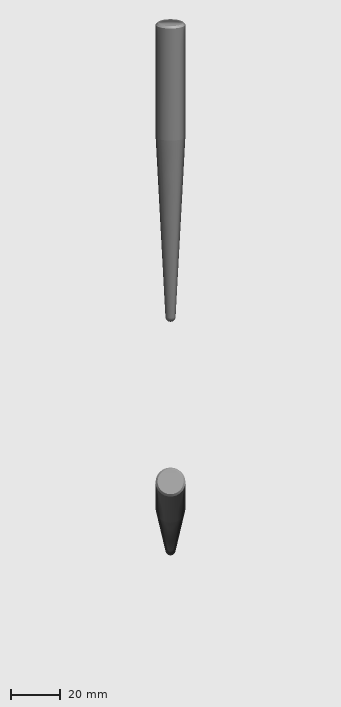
import cadquery as cq
import math

overall_length = 125.05
shank_radius = 6.0
end_chamfer = 0.8
ball_radius = 2.05
taper_angle = math.radians(3.0)
cutting_length = 12.0
neck_length = 76.3

tangent_radius = ball_radius * math.cos(taper_angle)
tangent_height = ball_radius * (1 - math.sin(taper_angle))


def taper_radius(height):
    """Radius of the common taper at a given height."""
    return tangent_radius + (height - tangent_height) * math.tan(taper_angle)


taper_end = tangent_height + (shank_radius - tangent_radius) / math.tan(taper_angle)


def revolve_about_z(profile):
    """Revolve a closed half profile of radius and height, keeping the edges between co-conical faces."""
    return profile.revolve(360, (0, 0), (0, 1), clean=False)


def make_cutting_tip():
    """Ball nose with the first stretch of the taper."""
    profile = (
        cq.Workplane("XZ")
        .radiusArc((tangent_radius, tangent_height), -ball_radius)
        .lineTo(taper_radius(cutting_length), cutting_length)
        .lineTo(0, cutting_length)
        .close()
    )
    return revolve_about_z(profile)


def make_shank():
    """Tapered neck, short lead-in cone and cylindrical shank with a chamfered end."""
    profile = (
        cq.Workplane("XZ")
        .moveTo(0, cutting_length)
        .lineTo(taper_radius(cutting_length), cutting_length)
        .lineTo(taper_radius(neck_length), neck_length)
        .lineTo(shank_radius, taper_end)
        .lineTo(shank_radius, overall_length - end_chamfer)
        .lineTo(shank_radius - end_chamfer, overall_length)
        .lineTo(0, overall_length)
        .close()
    )
    return revolve_about_z(profile)


cutting_tip = make_cutting_tip()
shank = make_shank()

result = cq.Compound.makeCompound([cutting_tip.val(), shank.val()])